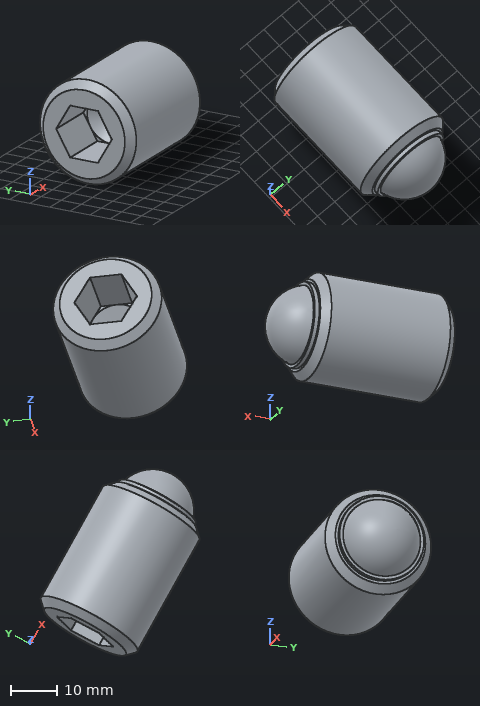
import cadquery as cq
import math

total_length = 39.7

body_radius = 24.0 / 2
body_length = 31.8
body_chamfer = 1.83

collar_radius = 19.05 / 2
collar_width = 1.05
collar_end_x = body_length + collar_width

ball_radius = 9.0
ball_center_x = total_length - ball_radius

socket_across_flats = 12.0
socket_depth = 12.0
drill_point_angle = 100.0


def point_on_ball(angle):
    """Point of the ball's outline at an angle in radians from the screw axis."""
    return (ball_center_x + ball_radius * math.cos(angle), ball_radius * math.sin(angle))


def make_screw():
    """Body, collar and ball as one turned shape."""
    chamfered_radius = body_radius - body_chamfer
    emerging_angle = math.acos((collar_end_x - ball_center_x) / ball_radius)
    return (
        cq.Workplane("XY")
        .moveTo(0, 0)
        .lineTo(0, chamfered_radius)
        .lineTo(body_chamfer, body_radius)
        .lineTo(body_length - body_chamfer, body_radius)
        .lineTo(body_length, chamfered_radius)
        .lineTo(body_length, collar_radius)
        .lineTo(collar_end_x, collar_radius)
        .lineTo(*point_on_ball(emerging_angle))
        .threePointArc(point_on_ball(emerging_angle / 2), (total_length, 0))
        .close()
        .revolve(360, (0, 0, 0), (1, 0, 0))
    )


def make_socket():
    """Hexagonal recess, two of its corners level with the screw axis, plus the drill point."""
    across_corners = socket_across_flats / math.cos(math.pi / 6)
    hexagon = cq.Workplane("YZ").polygon(6, across_corners).extrude(socket_depth)

    point_radius = socket_across_flats / 2
    point_length = point_radius / math.tan(math.radians(drill_point_angle / 2))
    drill_point = (
        cq.Workplane("XY")
        .moveTo(socket_depth, 0)
        .lineTo(socket_depth, point_radius)
        .lineTo(socket_depth + point_length, 0)
        .close()
        .revolve(360, (0, 0, 0), (1, 0, 0))
    )
    return hexagon.union(drill_point)


result = make_screw().cut(make_socket())